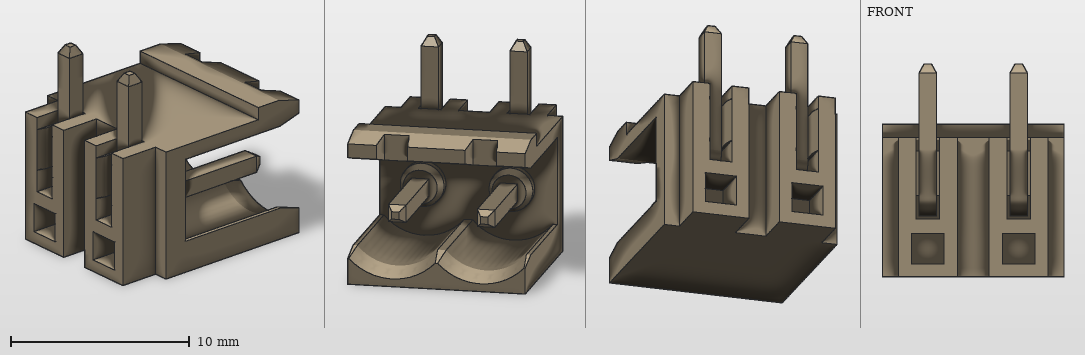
import cadquery as cq
import math


poles = 2
width = 10.16
length = 12.2
pitch = width / poles
body_height = 7.78
tower_width = 3.3
tower_depth = 2.4
wall_back = 3.85
floor_top = 1.9
roof_underside = 6.92

lead_in = 1.42
lead_in_drop = 0.4
mouth_start = length - lead_in
latch_top = 8.53
latch_front = 9.2
latch_slope_start = 10.71
latch_tip_top = 8.11

pin_size = 1.0
pin_axis_height = 3.89
pin_top = 11.9
pin_rear_end = 11.33
pin_tip_length = 0.51
pin_tip_size = 0.43
pin_bottom = pin_axis_height - pin_size / 2
pin_leg_axis = tower_depth - pin_size / 2

collar_diameter = 2.5
collar_tip_diameter = 1.95
collar_length = 1.02
collar_cone_length = collar_length / 2

slot_width = 1.29
slot_bottom = 3.25
rib_bottom = 4.55
rib_top = 7.04
rib_flare = 0.57

pocket_width = 1.83
pocket_height = 1.72
pocket_bottom = 0.71
pocket_depth = tower_depth

trough_radius = 3.04
trough_mouth_radius = trough_radius + lead_in_drop
notch_depth = 1.22
notch_inner_width = 1.4
notch_outer_width = 1.79

pole_positions = [(i - (poles - 1) / 2) * pitch for i in range(poles)]


def box(x_center, x_size, y_start, y_end, z_start, z_end):
    """Block centred on x_center, spanning the given Y and Z ranges."""
    block = cq.Workplane("XY").box(x_size, y_end - y_start, z_end - z_start, centered=(True, False, False))
    return block.translate((x_center, y_start, z_start))


def prism_along_z(points, x_center, z_start, z_end):
    """Prism with an XY outline whose X values are measured from x_center."""
    outline = cq.Workplane("XY").polyline(points).close().extrude(z_end - z_start)
    return outline.translate((x_center, 0, z_start))


def tapered_tip():
    """Pin point growing along +Z from the full pin section."""
    base = cq.Workplane("XY").rect(pin_size, pin_size)
    return base.workplane(offset=pin_tip_length).rect(pin_tip_size, pin_tip_size).loft(combine=True)


def turned_along_y(profile, x):
    """Solid of revolution about the horizontal pin axis; profile lists (radius, y) points."""
    solid = cq.Workplane("XY").polyline(profile).close().revolve(360, (0, 0, 0), (0, 1, 0))
    return solid.translate((x, 0, pin_axis_height))


def housing():
    """C-shaped side profile with the latch ridge, swept across the width."""
    profile = [
        (tower_depth, 0),
        (length, 0),
        (length, floor_top - lead_in_drop),
        (mouth_start, floor_top),
        (wall_back, floor_top),
        (wall_back, roof_underside),
        (mouth_start, roof_underside),
        (length, roof_underside + lead_in_drop),
        (length, latch_tip_top),
        (latch_slope_start, latch_top),
        (latch_front, latch_top),
        (latch_front, body_height),
        (tower_depth, body_height),
    ]
    return cq.Workplane("YZ").polyline(profile).close().extrude(width / 2, both=True)


def trough(x):
    """Lower half of a round bore that opens conically at the mouth."""
    bore = turned_along_y(
        [
            (0, wall_back),
            (trough_radius, wall_back),
            (trough_radius, mouth_start),
            (trough_mouth_radius, length),
            (0, length),
        ],
        x,
    )
    return bore.intersect(box(x, pitch, wall_back, length, 0, pin_axis_height))


def roof_notch(x):
    """Trapezoidal notch through the rear edge of the roof, widening outwards."""
    points = [
        (-notch_outer_width / 2, length),
        (-notch_inner_width / 2, length - notch_depth),
        (notch_inner_width / 2, length - notch_depth),
        (notch_outer_width / 2, length),
    ]
    return prism_along_z(points, x, roof_underside, latch_top)


def grip_rib(x, side):
    """Rib on one slot wall that touches the pin and flares out at the tower front."""
    points = [
        (side * slot_width / 2, 0),
        (side * pin_size / 2, rib_flare),
        (side * pin_size / 2, tower_depth),
        (side * slot_width / 2, tower_depth),
    ]
    return prism_along_z(points, x, rib_bottom, rib_top)


def collar(x):
    """Round boss on the wall with a conical end."""
    collar_end = wall_back + collar_length
    profile = [
        (0, wall_back),
        (collar_diameter / 2, wall_back),
        (collar_diameter / 2, collar_end - collar_cone_length),
        (collar_tip_diameter / 2, collar_end),
        (0, collar_end),
    ]
    return turned_along_y(profile, x)


def pin(x):
    """L-shaped square pin with a rounded outer bend and both ends pointed."""
    rear_shoulder = pin_rear_end - pin_tip_length
    top_shoulder = pin_top - pin_tip_length
    bend_front = tower_depth - pin_size
    bend_top = pin_bottom + pin_size
    bend_mid = pin_size * math.sqrt(0.5)
    bar = (
        cq.Workplane("YZ")
        .moveTo(rear_shoulder, pin_bottom)
        .lineTo(rear_shoulder, bend_top)
        .lineTo(tower_depth, bend_top)
        .lineTo(tower_depth, top_shoulder)
        .lineTo(bend_front, top_shoulder)
        .lineTo(bend_front, bend_top)
        .threePointArc((tower_depth - bend_mid, bend_top - bend_mid), (tower_depth, pin_bottom))
        .close()
        .extrude(pin_size / 2, both=True)
    )
    top_tip = tapered_tip().translate((0, pin_leg_axis, top_shoulder))
    rear_tip = tapered_tip().rotate((0, 0, 0), (1, 0, 0), -90)
    rear_tip = rear_tip.translate((0, rear_shoulder, pin_axis_height))
    return bar.union(top_tip).union(rear_tip).translate((x, 0, 0))


result = housing()
for x in pole_positions:
    result = result.union(box(x, tower_width, 0, tower_depth, 0, body_height))
    result = result.cut(box(x, slot_width, 0, tower_depth, slot_bottom, body_height))
    result = result.cut(box(x, pocket_width, 0, pocket_depth, pocket_bottom, pocket_bottom + pocket_height))
    result = result.cut(trough(x)).cut(roof_notch(x))
    result = result.union(grip_rib(x, -1)).union(grip_rib(x, 1))
    result = result.union(collar(x)).union(pin(x))